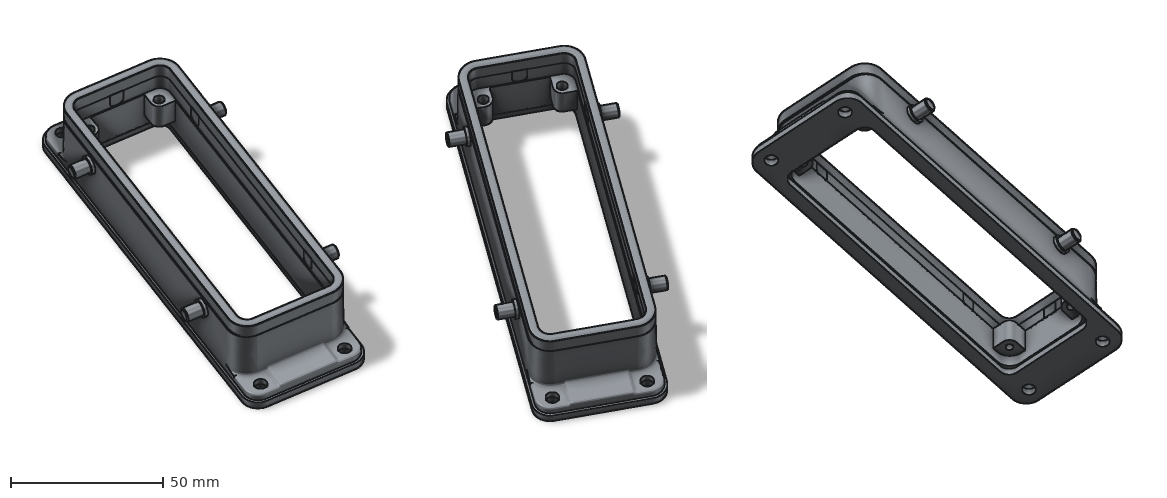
import cadquery as cq

GASKET_LENGTH = 141.0
GASKET_WIDTH = 45.4
GASKET_THICKNESS = 3.0
GASKET_CORNER_RADIUS = 6.0

DRAFT_ANGLE = 1.0
HOUSING_WIDTH = 43.5
FLANGE_LENGTH = 139.2
FLANGE_CORNER_RADIUS = 5.2
WALL_LENGTH = 120.1
WALL_CORNER_RADIUS = 7.6
CORNER_TOP = 5.5
PAD_RISE = 0.8
PAD_TOP = CORNER_TOP + PAD_RISE
PAD_HALF_WIDTH = 10.0
PAD_SIDE_RUN = 1.7
EDGE_FILLET = 0.8
EDGE_FILLET_END_X = 57.5
ROOT_FILLET = 0.8
RIM_CHAMFER = 0.3

MOUNT_HOLE_DIAMETER = 4.5
MOUNT_HOLE_X = 65.0
MOUNT_HOLE_Y = 16.0

BLANK_LENGTH = 155.1
BLANK_WIDTH = 56.4

SEAL_LENGTH = 120.1
SEAL_WIDTH = 42.6
SEAL_CORNER_RADIUS = 7.2
SEAL_BAND = 3.2
SEAL_BOTTOM = 23.5
SEAL_TOP = 29.0
SEAL_CROWN = 0.3
SEAL_CHAMFER = 0.1

OPENING_LENGTH = SEAL_LENGTH - 2 * SEAL_BAND
OPENING_WIDTH = SEAL_WIDTH - 2 * SEAL_BAND
OPENING_RADIUS = SEAL_CORNER_RADIUS - SEAL_BAND

CAVITY_STEP_Z = 17.8
CAVITY_STEP = 0.4
LOWER_CAVITY_RADIUS = 5.6

NOTCH_WIDTH = 5.1
NOTCH_DEPTH = 0.1
NOTCH_CORNER_RADIUS = 2.0

BOSS_X = 52.0
BOSS_Y = 13.3
BOSS_RADIUS = 3.1
BOSS_BOTTOM = 7.9
BOSS_TOP = CAVITY_STEP_Z
BOSS_WALL_OVERLAP = 0.7
BOSS_HOLE_DIAMETER = 2.5
BOSS_BORE_DIAMETER = 3.7
BOSS_BORE_DEPTH = 4.2

PIN_X = 37.0
PIN_Z = 19.3
PIN_DIAMETER = 5.0
PIN_SPAN = 57.7
PIN_TIP_Y = PIN_SPAN / 2
PIN_LENGTH = 9.9
PIN_CHAMFER = 0.4
COLLAR_DIAMETER = 6.5
COLLAR_FACE_Y = 22.7
COLLAR_LENGTH = 2.8

SIDES = (-1, 1)


def rounded_block(length, width, radius, bottom, top, draft=0.0):
    """Upright block with rounded corners, narrowing upwards by the draft angle."""
    outline = cq.Sketch().rect(length, width).vertices().fillet(radius)
    return cq.Workplane("XY", origin=(0, 0, bottom)).placeSketch(outline).extrude(top - bottom, taper=draft)


def mount_holes():
    return (
        cq.Workplane("XY")
        .rect(2 * MOUNT_HOLE_X, 2 * MOUNT_HOLE_Y, forConstruction=True)
        .vertices()
        .circle(MOUNT_HOLE_DIAMETER / 2)
        .extrude(SEAL_TOP)
    )


def make_gasket():
    plate = rounded_block(GASKET_LENGTH, GASKET_WIDTH, GASKET_CORNER_RADIUS, 0, GASKET_THICKNESS)
    opening = rounded_block(OPENING_LENGTH, OPENING_WIDTH, OPENING_RADIUS, 0, GASKET_THICKNESS)
    return plate.cut(opening).cut(mount_holes())


def make_seal():
    """Band with chamfered edges and a slightly domed top, swept around the rim."""
    outer_y = SEAL_WIDTH / 2
    inner_y = outer_y - SEAL_BAND
    edge_z = SEAL_TOP - SEAL_CROWN
    shoulder_z = edge_z - SEAL_CHAMFER
    rim = rounded_block(SEAL_LENGTH, SEAL_WIDTH, SEAL_CORNER_RADIUS, SEAL_BOTTOM, SEAL_TOP)
    rim_path = cq.Workplane(rim.faces("<Z").wires().val())
    return (
        cq.Workplane("YZ")
        .moveTo(outer_y, SEAL_BOTTOM)
        .lineTo(outer_y, shoulder_z)
        .lineTo(outer_y - SEAL_CHAMFER, edge_z)
        .threePointArc((outer_y - SEAL_BAND / 2, SEAL_TOP), (inner_y + SEAL_CHAMFER, edge_z))
        .lineTo(inner_y, shoulder_z)
        .lineTo(inner_y, SEAL_BOTTOM)
        .close()
        .sweep(rim_path)
    )


def lower_corners(plate):
    """Lower the plate on both sides of the pads, leaving pads with S-curved sides."""
    half_run = PAD_SIDE_RUN / 2
    half_rise = PAD_RISE / 2
    side_radius = (half_run**2 + half_rise**2) / (2 * half_rise)
    relief = (
        cq.Workplane("YZ")
        .moveTo(PAD_HALF_WIDTH, PAD_TOP)
        .radiusArc((PAD_HALF_WIDTH + half_run, PAD_TOP - half_rise), side_radius)
        .radiusArc((PAD_HALF_WIDTH + PAD_SIDE_RUN, CORNER_TOP), -side_radius)
        .lineTo(BLANK_WIDTH, CORNER_TOP)
        .lineTo(BLANK_WIDTH, PAD_TOP)
        .close()
        .extrude(BLANK_LENGTH, both=True)
    )
    return plate.cut(relief).cut(relief.mirror("XZ"))


def flange_block(top):
    return rounded_block(
        FLANGE_LENGTH, HOUSING_WIDTH, FLANGE_CORNER_RADIUS, GASKET_THICKNESS, top, DRAFT_ANGLE
    )


def edge_shavings():
    """Material outside the rounded top edge of the flange, at its two ends only."""
    sharp = lower_corners(flange_block(PAD_TOP))
    above_sides = cq.selectors.BoxSelector(
        (-FLANGE_LENGTH, -HOUSING_WIDTH, CORNER_TOP - PAD_RISE / 2),
        (FLANGE_LENGTH, HOUSING_WIDTH, PAD_TOP + PAD_RISE / 2),
        boundingbox=True,
    )
    outline_edges = sharp.edges(above_sides).edges("(not |X) or >Y or <Y")
    shavings = sharp.cut(outline_edges.fillet(EDGE_FILLET))
    middle = cq.Workplane("XY").box(2 * EDGE_FILLET_END_X, BLANK_WIDTH, 2 * SEAL_TOP)
    return shavings.cut(middle)


def make_shell():
    """Solid wall on a stepped blank with a rounded root, trimmed to the flange outline."""
    blank = lower_corners(
        cq.Workplane("XY", origin=(0, 0, GASKET_THICKNESS))
        .rect(BLANK_LENGTH, BLANK_WIDTH)
        .extrude(PAD_TOP - GASKET_THICKNESS)
    )
    wall = rounded_block(
        WALL_LENGTH, HOUSING_WIDTH, WALL_CORNER_RADIUS, GASKET_THICKNESS, SEAL_BOTTOM, DRAFT_ANGLE
    )
    wall = wall.faces(">Z").chamfer(RIM_CHAMFER)
    around_root = cq.selectors.BoxSelector(
        (-WALL_LENGTH / 2, -HOUSING_WIDTH / 2, CORNER_TOP - PAD_RISE / 2),
        (WALL_LENGTH / 2, HOUSING_WIDTH / 2, PAD_TOP + PAD_RISE / 2),
        boundingbox=True,
    )
    rooted = blank.union(wall).edges(around_root).fillet(ROOT_FILLET)
    return rooted.intersect(flange_block(SEAL_BOTTOM)).cut(edge_shavings())


def cavity():
    upper = rounded_block(OPENING_LENGTH, OPENING_WIDTH, OPENING_RADIUS, CAVITY_STEP_Z, SEAL_BOTTOM)
    lower = rounded_block(
        OPENING_LENGTH - 2 * CAVITY_STEP,
        OPENING_WIDTH - 2 * CAVITY_STEP,
        LOWER_CAVITY_RADIUS,
        GASKET_THICKNESS,
        CAVITY_STEP_Z,
    )
    return upper.union(lower)


def wall_notches():
    """Notches in both long walls behind the pins and in the middle of both end walls."""
    outline = (
        cq.Sketch()
        .rect(NOTCH_WIDTH, SEAL_BOTTOM - CAVITY_STEP_Z)
        .vertices("<Y")
        .fillet(NOTCH_CORNER_RADIUS)
    )
    middle_z = (SEAL_BOTTOM + CAVITY_STEP_Z) / 2
    across = (
        cq.Workplane("XZ", origin=(0, 0, middle_z))
        .pushPoints([(side * PIN_X, 0) for side in SIDES])
        .placeSketch(outline)
        .extrude(OPENING_WIDTH / 2 + NOTCH_DEPTH, both=True)
    )
    along = (
        cq.Workplane("YZ", origin=(0, 0, middle_z))
        .placeSketch(outline)
        .extrude(OPENING_LENGTH / 2 + NOTCH_DEPTH, both=True)
    )
    return across.union(along)


def screw_boss(side_x, side_y):
    """Round-cornered boss in one corner of the cavity, with a counterbored through hole."""
    size_x = OPENING_LENGTH / 2 + BOSS_WALL_OVERLAP - (BOSS_X - BOSS_RADIUS)
    size_y = OPENING_WIDTH / 2 + BOSS_WALL_OVERLAP - (BOSS_Y - BOSS_RADIUS)
    boss = (
        cq.Workplane("XY", origin=(BOSS_X - BOSS_RADIUS, BOSS_Y - BOSS_RADIUS, BOSS_BOTTOM))
        .rect(size_x, size_y, centered=False)
        .extrude(BOSS_TOP - BOSS_BOTTOM)
        .edges("|Z and <X and <Y")
        .fillet(BOSS_RADIUS)
        .faces(">Z")
        .workplane(origin=(BOSS_X, BOSS_Y, BOSS_TOP))
        .cboreHole(BOSS_HOLE_DIAMETER, BOSS_BORE_DIAMETER, BOSS_BORE_DEPTH)
    )
    if side_x < 0:
        boss = boss.mirror("YZ")
    if side_y < 0:
        boss = boss.mirror("XZ")
    return boss


def pin_cylinder(side_x, side_y, diameter, tip_y, length):
    """Cylinder on a pin axis, from its outer tip inwards."""
    return (
        cq.Workplane("XZ", origin=(side_x * PIN_X, side_y * tip_y, PIN_Z))
        .circle(diameter / 2)
        .extrude(side_y * length)
    )


def make_pin(side_x, side_y):
    pin = pin_cylinder(side_x, side_y, PIN_DIAMETER, PIN_TIP_Y, PIN_LENGTH)
    tip = ">Y" if side_y > 0 else "<Y"
    return pin.faces(tip).chamfer(PIN_CHAMFER)


def make_housing():
    housing = make_shell()
    for side_x in SIDES:
        for side_y in SIDES:
            collar = pin_cylinder(side_x, side_y, COLLAR_DIAMETER, COLLAR_FACE_Y, COLLAR_LENGTH)
            housing = housing.union(collar)
    housing = housing.cut(cavity()).cut(wall_notches()).cut(mount_holes())
    for side_x in SIDES:
        for side_y in SIDES:
            housing = housing.union(screw_boss(side_x, side_y))
            housing = housing.cut(pin_cylinder(side_x, side_y, PIN_DIAMETER, PIN_TIP_Y, PIN_LENGTH))
    return housing


gasket = make_gasket()
housing = make_housing()
seal = make_seal()
pins = [make_pin(side_x, side_y) for side_x in SIDES for side_y in SIDES]
result = cq.Compound.makeCompound(
    [gasket.solids().val(), housing.solids().val(), seal.val(), *[pin.val() for pin in pins]]
)